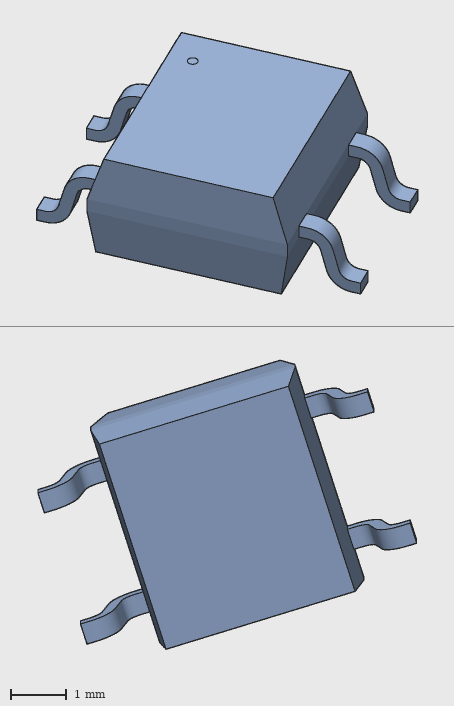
import cadquery as cq
import math

LEAD_SPAN = 6.2
HOUSING_WIDTH = 3.84
HOUSING_LENGTH = 4.11
HOUSING_TOP = 2.16
STANDOFF = 0.02
BELT_TOP = 1.22
BELT_HEIGHT = 0.27
TOP_INSET_X = 0.3
BOTTOM_INSET_X = 0.14
INSET_Y = 0.07
BELT_BOTTOM = BELT_TOP - BELT_HEIGHT

LEAD_PITCH = 2.54
LEAD_WIDTH = 0.39
LEAD_THICKNESS = 0.25
BEND_INNER_RADIUS = 0.25
BEND_ANGLE = math.radians(75)
BEND_OUTER_RADIUS = BEND_INNER_RADIUS + LEAD_THICKNESS

MARKER_DIAMETER = 0.19
MARKER_DEPTH = 0.03
MARKER_X = -1.135
MARKER_Y = LEAD_PITCH / 2


def tapered_half(start_z, end_z, inset_x):
    """Frustum running from the belt outline to a smaller rectangle at end_z."""
    return (
        cq.Workplane("XY", origin=(0, 0, start_z))
        .rect(HOUSING_WIDTH, HOUSING_LENGTH)
        .workplane(offset=end_z - start_z)
        .rect(HOUSING_WIDTH - 2 * inset_x, HOUSING_LENGTH - 2 * INSET_Y)
        .loft(ruled=True)
    )


def make_marker():
    """Disc set flush into the top face."""
    return (
        cq.Workplane("XY", origin=(MARKER_X, MARKER_Y, HOUSING_TOP - MARKER_DEPTH))
        .circle(MARKER_DIAMETER / 2)
        .extrude(MARKER_DEPTH)
    )


def make_housing(marker):
    """Drafted halves joined by a straight belt, with a recess for the marker."""
    belt = (
        cq.Workplane("XY", origin=(0, 0, BELT_BOTTOM))
        .rect(HOUSING_WIDTH, HOUSING_LENGTH)
        .extrude(BELT_HEIGHT)
    )
    upper = tapered_half(BELT_TOP, HOUSING_TOP, TOP_INSET_X)
    lower = tapered_half(BELT_BOTTOM, STANDOFF, BOTTOM_INSET_X)
    return belt.union(upper).union(lower).cut(marker)


def arc_point(center, radius, angle):
    """Point on a bend, with the angle measured from straight up, positive toward -X."""
    return (center[0] - radius * math.sin(angle), center[1] + radius * math.cos(angle))


def make_lead(side, y):
    """S-bent lead at one Y position; side is -1 for the -X row and +1 for the +X row."""
    toe_x = -LEAD_SPAN / 2
    root_x = -HOUSING_WIDTH / 2

    bend_radii = BEND_INNER_RADIUS + BEND_OUTER_RADIUS
    rise = BELT_TOP - LEAD_THICKNESS
    shank = (rise - bend_radii * (1 - math.cos(BEND_ANGLE))) / math.sin(BEND_ANGLE)
    bend_run = bend_radii * math.sin(BEND_ANGLE) + shank * math.cos(BEND_ANGLE)
    flat = (root_x - toe_x - bend_run) / 2

    shoulder = (root_x - flat, BELT_TOP - BEND_OUTER_RADIUS)
    foot = (toe_x + flat, BEND_OUTER_RADIUS)
    half_bend = BEND_ANGLE / 2
    foot_end = math.pi + BEND_ANGLE
    foot_mid = math.pi + half_bend

    lead = (
        cq.Workplane("XZ")
        .moveTo(root_x, BELT_TOP)
        .lineTo(shoulder[0], BELT_TOP)
        .threePointArc(
            arc_point(shoulder, BEND_OUTER_RADIUS, half_bend),
            arc_point(shoulder, BEND_OUTER_RADIUS, BEND_ANGLE),
        )
        .lineTo(*arc_point(foot, BEND_INNER_RADIUS, foot_end))
        .threePointArc(
            arc_point(foot, BEND_INNER_RADIUS, foot_mid),
            (foot[0], LEAD_THICKNESS),
        )
        .lineTo(toe_x, LEAD_THICKNESS)
        .lineTo(toe_x, 0)
        .lineTo(foot[0], 0)
        .threePointArc(
            arc_point(foot, BEND_OUTER_RADIUS, foot_mid),
            arc_point(foot, BEND_OUTER_RADIUS, foot_end),
        )
        .lineTo(*arc_point(shoulder, BEND_INNER_RADIUS, BEND_ANGLE))
        .threePointArc(
            arc_point(shoulder, BEND_INNER_RADIUS, half_bend),
            (shoulder[0], BELT_TOP - LEAD_THICKNESS),
        )
        .lineTo(root_x, BELT_TOP - LEAD_THICKNESS)
        .close()
        .extrude(LEAD_WIDTH / 2, both=True)
    )
    if side > 0:
        lead = lead.mirror("YZ")
    return lead.translate((0, y, 0))


marker = make_marker()
housing = make_housing(marker)
leads = []
for side in (-1, 1):
    for y in (-LEAD_PITCH / 2, LEAD_PITCH / 2):
        leads.append(make_lead(side, y).solids().val())

result = cq.Compound.makeCompound([housing.solids().val(), marker.val(), *leads])